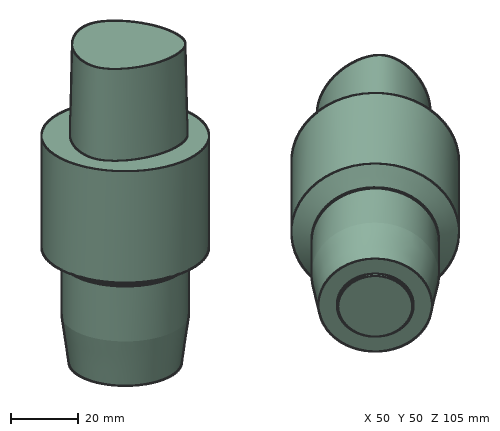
import cadquery as cq
import math

total_height = 105.0
body_diameter = 50.0
neck_diameter = 37.6
spigot_diameter = 38.0
nose_tip_diameter = 33.8
pad_diameter = 22.9
pad_tip_diameter = 22.0

pad_height = 0.6
nose_height = 15.5
spigot_height = 18.2
neck_height = 0.6
undercut_height = 3.5
shank_height = 29.9

shank_base_radius = 17.5
shank_top_radius = 16.9
lobe_eccentricity = 1.0

nose_bottom = pad_height
spigot_bottom = nose_bottom + nose_height
neck_bottom = spigot_bottom + spigot_height
undercut_bottom = neck_bottom + neck_height
body_bottom = undercut_bottom + undercut_height
body_top = total_height - shank_height


def make_turned_body():
    """Revolve the half section of the round portion about Z."""
    return (
        cq.Workplane("XZ")
        .moveTo(0, 0)
        .lineTo(pad_tip_diameter / 2, 0)
        .lineTo(pad_diameter / 2, nose_bottom)
        .lineTo(nose_tip_diameter / 2, nose_bottom)
        .lineTo(spigot_diameter / 2, spigot_bottom)
        .lineTo(spigot_diameter / 2, neck_bottom)
        .lineTo(neck_diameter / 2, neck_bottom)
        .lineTo(neck_diameter / 2, undercut_bottom)
        .lineTo(body_diameter / 2, body_bottom)
        .lineTo(body_diameter / 2, body_top)
        .lineTo(0, body_top)
        .close()
        .revolve(360, (0, 0, 0), (0, 1, 0))
    )


def lobed_wire(mean_radius, level):
    """Closed constant-width curve with three lobes, one pointing toward -Y."""

    def curve_point(turn):
        angle = 2 * math.pi * turn
        along_lobe = (
            mean_radius * math.cos(angle)
            + 2 * lobe_eccentricity * math.cos(2 * angle)
            - lobe_eccentricity * math.cos(4 * angle)
        )
        across_lobe = (
            mean_radius * math.sin(angle)
            - 2 * lobe_eccentricity * math.sin(2 * angle)
            - lobe_eccentricity * math.sin(4 * angle)
        )
        return cq.Vector(across_lobe, -along_lobe, level)

    point_count = 48
    points = [curve_point(index / point_count) for index in range(point_count)]
    return cq.Wire.assembleEdges([cq.Edge.makeSpline(points, periodic=True)])


def make_shank():
    """Tapered three-lobed shank standing on the body."""
    base = lobed_wire(shank_base_radius, body_top)
    top = lobed_wire(shank_top_radius, total_height)
    return cq.Workplane(obj=cq.Solid.makeLoft([base, top], True))


result = make_turned_body().union(make_shank())